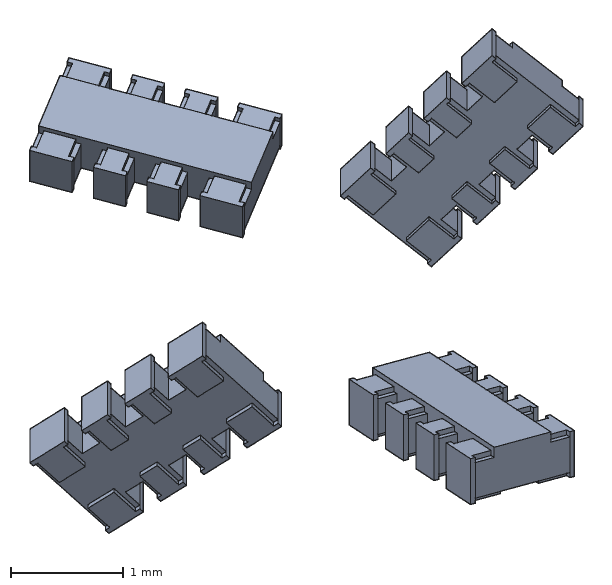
import cadquery as cq


length = 2.0
width_over_terminals = 1.1
height = 0.5
metal = 0.05
flange_inset = 0.05
inner_width = 0.3
gap = 0.2
coat_thickness = 0.1
coat_width = 0.6
bottom_flange_reach = 0.35

end_width = (length - 2 * inner_width - 3 * gap) / 2
plate_outer_y = width_over_terminals / 2
finger_tip_y = plate_outer_y - metal
coat_edge_y = coat_width / 2
foot_inner_y = plate_outer_y - bottom_flange_reach
ceramic_bottom = metal
ceramic_top = height - coat_thickness
terminal_top = ceramic_top + metal

end_x = (length - end_width) / 2
inner_x = (gap + inner_width) / 2
columns = [
    (-end_x, end_width),
    (-inner_x, inner_width),
    (inner_x, inner_width),
    (end_x, end_width),
]


def block(center_x, size_x, y_min, y_max, z_min, z_max):
    """Box centred on center_x, between the given Y and Z limits."""
    return cq.Workplane("XY").box(
        size_x, y_max - y_min, z_max - z_min, centered=(True, False, False)
    ).translate((center_x, y_min, z_min))


def make_ceramic_body():
    """Ceramic core with a finger behind each terminal, and the raised coat on top."""
    body = block(0, length, -coat_edge_y, coat_edge_y, ceramic_bottom, ceramic_top)
    for center_x, size_x in columns:
        fingers = block(center_x, size_x, -finger_tip_y, finger_tip_y, ceramic_bottom, ceramic_top)
        body = body.union(fingers)
    coat = block(0, length, -coat_edge_y, coat_edge_y, ceramic_top, height)
    return body.union(coat, clean=False)


def make_terminal(center_x, size_x):
    """C-shaped terminal on the +Y side: outer plate, top flange and foot."""
    flange_width = size_x - 2 * flange_inset
    plate = block(center_x, size_x, finger_tip_y, plate_outer_y, 0, terminal_top)
    top_flange = block(center_x, flange_width, coat_edge_y, finger_tip_y, ceramic_top, terminal_top)
    foot = block(center_x, flange_width, foot_inner_y, finger_tip_y, 0, ceramic_bottom)
    return plate.union(top_flange).union(foot)


ceramic_body = make_ceramic_body()

terminals = []
for center_x, size_x in columns:
    terminal = make_terminal(center_x, size_x)
    terminals.extend(terminal.solids().vals())
    terminals.extend(terminal.mirror("XZ").solids().vals())

result = cq.Compound.makeCompound([*ceramic_body.solids().vals(), *terminals])